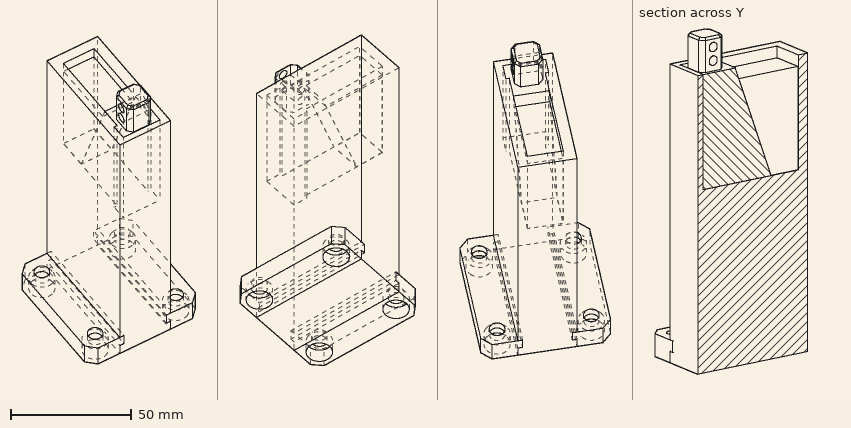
import cadquery as cq
import math

total_height = 145.0
base_length = 56.0
base_width = 55.0

post_height = 15.0
housing_height = total_height - post_height
housing_width = 25.1

flange_height = 10.0
tongue_height = flange_height / 2
tongue_depth = 2.0
flange_corner_chamfer = 4.0
mount_hole_diameter = 6.5
mount_hole_inset = 7.5

counterbore_diameter = 11.0
counterbore_depth = 6.5

slot_near_wall = 5.0
slot_far_wall = 2.8
slot_width = 15.2
slot_head_width = 18.1
slot_head_length = 7.0
slot_depth = 50.0

slider_top_length = 16.4
incline_angle = 20.0
filler_top_depth = 5.1
filler_side_clearance = 0.1

post_side = 12.0
post_edge_chamfer = 2.2
post_top_chamfer = 1.0
post_setback = 0.22
cross_hole_diameter = 4.0
cross_hole_spacing = 6.0
cross_hole_top_offset = 4.5

slot_near_x = -base_length / 2 + slot_near_wall
slot_far_x = base_length / 2 - slot_far_wall
slot_head_x = slot_far_x - slot_head_length
slot_floor_z = housing_height - slot_depth
filler_top_z = housing_height - filler_top_depth
slider_top_x = slot_far_x - slider_top_length


def incline_x(z):
    """X of the plane between slider and filler block at height z."""
    return slider_top_x - (housing_height - z) * math.tan(math.radians(incline_angle))


def box(x_min, x_max, y_min, y_max, z_min, z_max):
    size = (x_max - x_min, y_max - y_min, z_max - z_min)
    return cq.Workplane("XY").box(*size, centered=False).translate((x_min, y_min, z_min))


def centred_prism(profile_xz, width):
    """Extrude an XZ outline by width, half to each side of Y = 0."""
    return cq.Workplane("XZ").polyline(profile_xz).close().extrude(width / 2, both=True)


def slot_head():
    half = slot_head_width / 2
    return box(slot_head_x, slot_far_x, -half, half, slot_floor_z, housing_height)


def make_housing():
    end_x = base_length / 2
    side_y = housing_width / 2
    body = box(-end_x, end_x, -side_y, side_y, 0, housing_height)

    groove_bottom_z = flange_height - tongue_height
    groove_floor_y = side_y - tongue_depth
    groove = box(-end_x, end_x, groove_floor_y, side_y, groove_bottom_z, flange_height)
    body = body.cut(groove).cut(groove.mirror("XZ"))

    half = slot_width / 2
    slot = box(slot_near_x, slot_far_x, -half, half, slot_floor_z, housing_height)
    return body.cut(slot.union(slot_head()))


def make_flange(side):
    """Flange on the +Y side (side = 1) or the -Y side (side = -1)."""
    end_x = base_length / 2
    outer_y = base_width / 2
    inner_y = housing_width / 2
    plate = box(-end_x, end_x, inner_y, outer_y, 0, flange_height)
    plate = plate.edges("|Z and >Y").chamfer(flange_corner_chamfer)

    tongue_bottom_z = flange_height - tongue_height
    tongue = box(-end_x, end_x, inner_y - tongue_depth, inner_y, tongue_bottom_z, flange_height)

    hole_x = end_x - mount_hole_inset
    hole_y = outer_y - mount_hole_inset
    hole_centres = [(-hole_x, hole_y), (hole_x, hole_y)]
    centres = cq.Workplane("XY").pushPoints(hole_centres)
    holes = centres.circle(mount_hole_diameter / 2).extrude(flange_height)
    counterbores = centres.circle(counterbore_diameter / 2).extrude(counterbore_depth)
    flange = plate.union(tongue).cut(holes).cut(counterbores)
    return flange if side > 0 else flange.mirror("XZ")


def make_post():
    half = post_side / 2
    post_far_x = slot_far_x - post_setback
    post_near_x = post_far_x - post_side
    post = box(post_near_x, post_far_x, -half, half, housing_height, total_height)
    post = post.edges("|Z").chamfer(post_edge_chamfer)
    post = post.faces(">Z").chamfer(post_top_chamfer)

    upper_hole_z = total_height - cross_hole_top_offset
    for hole_z in (upper_hole_z, upper_hole_z - cross_hole_spacing):
        hole = (
            cq.Workplane("XZ")
            .center(post_far_x - half, hole_z)
            .circle(cross_hole_diameter / 2)
            .extrude(half, both=True)
        )
        post = post.cut(hole)
    return post


def make_slider():
    profile = [
        (incline_x(slot_floor_z), slot_floor_z),
        (slot_far_x, slot_floor_z),
        (slot_far_x, housing_height),
        (slider_top_x, housing_height),
    ]
    return centred_prism(profile, slot_width).union(slot_head()).union(make_post())


def make_filler_block():
    profile = [
        (slot_near_x, slot_floor_z),
        (incline_x(slot_floor_z), slot_floor_z),
        (incline_x(filler_top_z), filler_top_z),
        (slot_near_x, filler_top_z),
    ]
    return centred_prism(profile, slot_width - 2 * filler_side_clearance)


housing = make_housing()
flanges = [make_flange(side) for side in (-1, 1)]
slider = make_slider()
filler_block = make_filler_block()

result = cq.Compound.makeCompound(
    [
        housing.val(),
        *[flange.val() for flange in flanges],
        slider.val(),
        filler_block.val(),
    ]
)